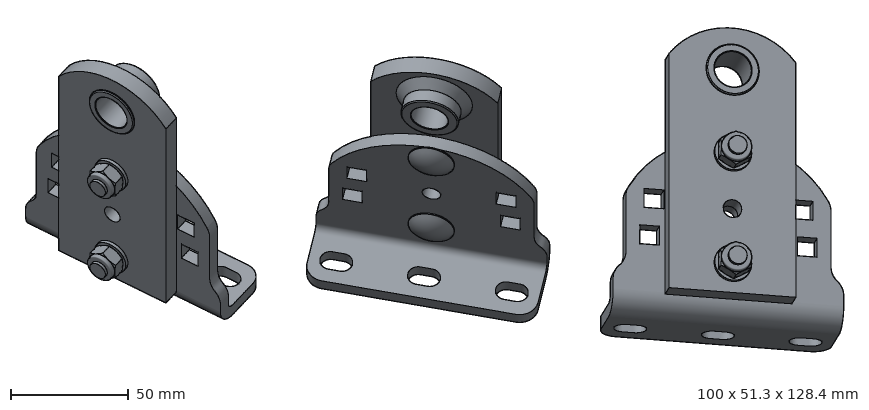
import cadquery as cq
import math


fastener_spacing = 50.0
lower_fastener_z = 21.6
upper_fastener_z = lower_fastener_z + fastener_spacing
fastener_heights = (lower_fastener_z, upper_fastener_z)
spare_hole_z = lower_fastener_z + fastener_spacing / 2
shank_diameter = 8.0

arm_width = 55.0
arm_thickness = 8.0
arm_bottom_z = 8.6
arm_top_z = 128.41
arm_arch_radius = 34.5
arm_front_y = -arm_thickness

bracket_width = 100.0
bracket_thickness = 6.0
bracket_depth = 32.29
bend_inner_radius = 3.29
bend_outer_radius = bend_inner_radius + bracket_thickness
upright_width = 89.0
upright_arch_radius = 50.0
upright_top_z = 81.3
upright_corner_radius = 10.0
waist_top_z = 26.5
waist_bottom_z = 14.2
square_size = 8.5
square_centers = ((32.3, 51.5), (34.2, 34.9))
foot_corner_radius = 8.0
slot_count = 3
slot_length = 14.0
slot_width = 9.0
slot_spacing = 38.0
slot_edge_distance = 11.0

bushing_offset = 37.8
bushing_z = upper_fastener_z + bushing_offset
bushing_diameter = 25.0
spigot_diameter = 23.0
bushing_bore = 16.0
bushing_back_length = 10.0
spigot_protrusion = 1.0
bushing_chamfer = 0.5
bore_chamfer = 0.3
weld_leg = 4.0

washer_diameter = 16.0
washer_thickness = 1.6
nut_across_flats = 13.0
nut_hex_height = 6.0
nut_height = 8.0
nut_bevel_height = 0.5
collar_diameter = 12.8
collar_edge_radius = 0.5
head_diameter = 20.0
head_rim_height = 0.6
head_height = 4.4
bolt_protrusion = 1.4

washer_front_y = arm_front_y - washer_thickness
nut_front_y = washer_front_y - nut_height
bolt_tip_y = nut_front_y - bolt_protrusion


def cylinder_y(diameter, y_from, y_to, z):
    """Cylinder along Y on the X = 0 plane."""
    return (
        cq.Workplane("XZ", origin=(0, y_from, z))
        .circle(diameter / 2)
        .extrude(y_from - y_to)
    )


def revolve_y(profile, z):
    """Turn a profile drawn as (radius, y) about a Y-parallel axis at height z."""
    return profile.revolve(360, (0, 0, 0), (0, 1, 0)).translate((0, 0, z))


def make_arm():
    half_width = arm_width / 2
    arch_center_z = arm_top_z - arm_arch_radius
    shoulder_z = arch_center_z + math.sqrt(arm_arch_radius**2 - half_width**2)
    arm = (
        cq.Workplane("XZ")
        .moveTo(-half_width, arm_bottom_z)
        .lineTo(half_width, arm_bottom_z)
        .lineTo(half_width, shoulder_z)
        .threePointArc((0, arm_top_z), (-half_width, shoulder_z))
        .close()
        .extrude(arm_thickness)
    )
    for z in (*fastener_heights, spare_hole_z):
        arm = arm.cut(cylinder_y(shank_diameter, 0, arm_front_y, z))
    return arm.cut(cylinder_y(spigot_diameter, 0, arm_front_y, bushing_z))


def bent_strip():
    """Full-width L-section of the bracket before its outline is trimmed."""
    bend_y = bend_outer_radius
    bend_z = bend_outer_radius
    diagonal = math.sqrt(0.5)
    outer_mid = bend_outer_radius * (1 - diagonal)
    inner_mid = bend_outer_radius - bend_inner_radius * diagonal
    return (
        cq.Workplane("YZ")
        .moveTo(0, upright_top_z)
        .lineTo(0, bend_z)
        .threePointArc((outer_mid, outer_mid), (bend_y, 0))
        .lineTo(bracket_depth, 0)
        .lineTo(bracket_depth, bracket_thickness)
        .lineTo(bend_y, bracket_thickness)
        .threePointArc((inner_mid, inner_mid), (bracket_thickness, bend_z))
        .lineTo(bracket_thickness, upright_top_z)
        .close()
        .extrude(bracket_width / 2, both=True)
    )


def upright_outline():
    """Front outline of the bracket, extruded through its whole depth."""
    half_base = bracket_width / 2
    half_upright = upright_width / 2
    arch_center_z = upright_top_z - upright_arch_radius
    shoulder_z = arch_center_z + math.sqrt(upright_arch_radius**2 - half_upright**2)

    half_step = (half_base - half_upright) / 2
    half_rise = (waist_top_z - waist_bottom_z) / 2
    middle_x = half_upright + half_step
    middle_z = waist_bottom_z + half_rise
    outline = (
        cq.Workplane("XZ")
        .moveTo(-half_base, 0)
        .lineTo(half_base, 0)
        .lineTo(half_base, waist_bottom_z)
        .tangentArcPoint((middle_x, middle_z), relative=False)
        .tangentArcPoint((half_upright, waist_top_z), relative=False)
        .lineTo(half_upright, shoulder_z)
        .threePointArc((0, upright_top_z), (-half_upright, shoulder_z))
        .lineTo(-half_upright, waist_top_z)
        .tangentArcPoint((-middle_x, middle_z), relative=False)
        .tangentArcPoint((-half_base, waist_bottom_z), relative=False)
        .close()
        .extrude(-bracket_depth)
    )
    shoulder_corners = [(side * half_upright, bracket_depth / 2, shoulder_z) for side in (-1, 1)]
    left_corner, right_corner = [cq.selectors.NearestToPointSelector(p) for p in shoulder_corners]
    return outline.edges("|Y").edges(left_corner + right_corner).fillet(upright_corner_radius)


def make_bracket():
    bracket = bent_strip().intersect(upright_outline())
    bracket = bracket.edges("|Z and >Y").fillet(foot_corner_radius)
    slots = (
        cq.Workplane("XY", origin=(0, bracket_depth - slot_edge_distance, 0))
        .rarray(slot_spacing, 1, slot_count, 1)
        .slot2D(slot_length, slot_width)
        .extrude(bracket_thickness)
    )
    squares = (
        cq.Workplane("XZ")
        .pushPoints([(side * x, z) for x, z in square_centers for side in (-1, 1)])
        .rect(square_size, square_size)
        .extrude(-bracket_thickness)
    )
    bracket = bracket.cut(slots).cut(squares)
    for z in (*fastener_heights, spare_hole_z):
        bracket = bracket.cut(cylinder_y(shank_diameter, 0, bracket_thickness, z))
    return bracket


def make_bushing():
    front_y = arm_front_y - spigot_protrusion
    body = cylinder_y(bushing_diameter, 0, bushing_back_length, bushing_z)
    body = body.faces(">Y").chamfer(bushing_chamfer)
    spigot = cylinder_y(spigot_diameter, 0, front_y, bushing_z)
    spigot = spigot.faces("<Y").chamfer(bushing_chamfer)
    bore = cylinder_y(bushing_bore, front_y, bushing_back_length, bushing_z)
    bushing = body.union(spigot).cut(bore)
    bore_rims = bushing.faces("<Y or >Y").edges(cq.selectors.RadiusNthSelector(0))
    return bore_rims.chamfer(bore_chamfer)


def make_weld():
    """Triangular bead between the bushing and the back of the arm."""
    inner_radius = bushing_diameter / 2
    profile = (
        cq.Workplane("XY")
        .moveTo(inner_radius, 0)
        .lineTo(inner_radius + weld_leg, 0)
        .lineTo(inner_radius, weld_leg)
        .close()
    )
    return revolve_y(profile, bushing_z)


def make_bolt(z):
    """Cup-head bolt: domed head against the bracket, shank through to the nut."""
    head_radius = head_diameter / 2
    shank_radius = shank_diameter / 2
    dome_rise = head_height - head_rim_height
    dome_radius = (head_radius**2 + dome_rise**2) / (2 * dome_rise)
    rim_y = bracket_thickness + head_rim_height
    crown_y = bracket_thickness + head_height
    mid_radius = head_radius / 2
    mid_y = crown_y - dome_radius + math.sqrt(dome_radius**2 - mid_radius**2)
    profile = (
        cq.Workplane("XY")
        .moveTo(0, bolt_tip_y)
        .lineTo(shank_radius, bolt_tip_y)
        .lineTo(shank_radius, bracket_thickness)
        .lineTo(head_radius, bracket_thickness)
        .lineTo(head_radius, rim_y)
        .threePointArc((mid_radius, mid_y), (0, crown_y))
        .close()
    )
    return revolve_y(profile, z)


def make_washer(z):
    disc = cylinder_y(washer_diameter, arm_front_y, washer_front_y, z)
    return disc.cut(cylinder_y(shank_diameter, arm_front_y, washer_front_y, z))


def make_nut(z):
    """Lock nut: hexagon with two sides upright, and a round collar on its outer end."""
    across_corners = nut_across_flats / math.cos(math.pi / 6)
    hex_front_y = washer_front_y - nut_hex_height
    hexagon = (
        cq.Workplane("XZ", origin=(0, washer_front_y, z))
        .transformed(rotate=(0, 0, 90))
        .polygon(6, across_corners)
        .extrude(nut_hex_height)
    )
    bevel = cylinder_y(across_corners, washer_front_y, hex_front_y, z)
    bevel_depth = (across_corners - nut_across_flats) / 2
    bevel = bevel.faces("<Y or >Y").chamfer(nut_bevel_height, bevel_depth)
    collar = cylinder_y(collar_diameter, hex_front_y, nut_front_y, z)
    collar = collar.faces("<Y").edges().fillet(collar_edge_radius)
    nut = hexagon.intersect(bevel).union(collar)
    return nut.cut(cylinder_y(shank_diameter, washer_front_y, nut_front_y, z))


arm = make_arm()
bracket = make_bracket()
bushing = make_bushing()
weld = make_weld()
bolts = [make_bolt(z) for z in fastener_heights]
washers = [make_washer(z) for z in fastener_heights]
nuts = [make_nut(z) for z in fastener_heights]

bodies = [arm, bracket, bushing, weld, *bolts, *washers, *nuts]
result = cq.Compound.makeCompound([body.solids().val() for body in bodies])